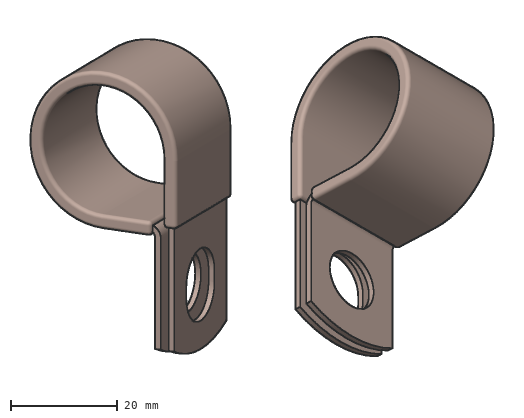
import cadquery as cq
import math

outer_radius = 15.5
cushion_thickness = 2.8
cushion_width = 23.8
edge_radius = 0.8
upright_leg_end_z = -13.55
lower_leg_end_x = 10.15

strap_thickness = cushion_thickness - 2 * edge_radius
strap_width = cushion_width - 2 * edge_radius
tab_gap = 1.6
bend_outer_radius = 2.4
strap_overlap = edge_radius

total_height = 55.95
hole_diameter = 11.9
hole_z = -27.7
slot_extension = 1.2
tab_end_radius = 25.0

inner_radius = outer_radius - cushion_thickness
strap_outer_radius = outer_radius - edge_radius
strap_inner_radius = strap_outer_radius - strap_thickness
tab_bottom_z = outer_radius - total_height
bent_tab_face_x = strap_inner_radius - tab_gap
diagonal = math.sqrt(0.5)


def extrude_along_y(profile, width):
    """Extrude an XZ profile symmetrically about Y = 0."""
    return profile.extrude(width / 2, both=True)


def make_cushion():
    """Three-quarter ring with two straight legs and every edge rounded."""
    profile = (
        cq.Workplane("XZ")
        .moveTo(outer_radius, upright_leg_end_z)
        .lineTo(outer_radius, 0)
        .threePointArc((-outer_radius * diagonal, outer_radius * diagonal), (0, -outer_radius))
        .lineTo(lower_leg_end_x, -outer_radius)
        .lineTo(lower_leg_end_x, -inner_radius)
        .lineTo(0, -inner_radius)
        .threePointArc((-inner_radius * diagonal, inner_radius * diagonal), (inner_radius, 0))
        .lineTo(inner_radius, upright_leg_end_z)
        .close()
    )
    band = extrude_along_y(profile, cushion_width)
    mid_radius = (outer_radius + inner_radius) / 2
    upright_end = cq.NearestToPointSelector((mid_radius, 0, upright_leg_end_z))
    lower_end = cq.NearestToPointSelector((lower_leg_end_x, 0, -mid_radius))
    rounded_faces = band.faces("<Y or >Y").add(band.faces(upright_end)).add(band.faces(lower_end))
    return rounded_faces.edges().fillet(edge_radius)


def make_straight_tab():
    """Flat tab hanging from the upright leg."""
    top_z = upright_leg_end_z + strap_overlap
    profile = (
        cq.Workplane("XZ")
        .moveTo(strap_inner_radius, top_z)
        .lineTo(strap_outer_radius, top_z)
        .lineTo(strap_outer_radius, tab_bottom_z)
        .lineTo(strap_inner_radius, tab_bottom_z)
        .close()
    )
    return extrude_along_y(profile, strap_width)


def make_bent_tab():
    """Tab leaving the lower leg horizontally and bending down."""
    bend_inner_radius = bend_outer_radius - strap_thickness
    bend_x = bent_tab_face_x - bend_outer_radius
    bend_z = -strap_inner_radius - bend_outer_radius
    start_x = lower_leg_end_x - strap_overlap
    outer_mid = (bend_x + bend_outer_radius * diagonal, bend_z + bend_outer_radius * diagonal)
    inner_mid = (bend_x + bend_inner_radius * diagonal, bend_z + bend_inner_radius * diagonal)
    profile = (
        cq.Workplane("XZ")
        .moveTo(start_x, -strap_inner_radius)
        .lineTo(bend_x, -strap_inner_radius)
        .threePointArc(outer_mid, (bent_tab_face_x, bend_z))
        .lineTo(bent_tab_face_x, tab_bottom_z)
        .lineTo(bent_tab_face_x - strap_thickness, tab_bottom_z)
        .lineTo(bent_tab_face_x - strap_thickness, bend_z)
        .threePointArc(inner_mid, (bend_x, -strap_outer_radius))
        .lineTo(start_x, -strap_outer_radius)
        .close()
    )
    return extrude_along_y(profile, strap_width)


def make_tab_outline():
    """Tab shape seen along X, with an arched lower end."""
    half_width = strap_width / 2
    arch_height = tab_end_radius - math.sqrt(tab_end_radius**2 - half_width**2)
    corner_z = tab_bottom_z + arch_height
    return (
        cq.Workplane("YZ")
        .moveTo(-half_width, 0)
        .lineTo(-half_width, corner_z)
        .threePointArc((0, tab_bottom_z), (half_width, corner_z))
        .lineTo(half_width, 0)
        .close()
        .extrude(outer_radius)
    )


def make_bolt_hole():
    """Round cutter for the bent tab."""
    return cq.Workplane("YZ").center(0, hole_z).circle(hole_diameter / 2).extrude(outer_radius)


def make_bolt_slot():
    """Cutter for the straight tab, lengthened along Z to allow for adjustment."""
    slot_length = hole_diameter + 2 * slot_extension
    return cq.Workplane("YZ").center(0, hole_z).slot2D(slot_length, hole_diameter, 90).extrude(outer_radius)


straight_tab = make_straight_tab().cut(make_bolt_slot())
bent_tab = make_bent_tab().cut(make_bolt_hole())
tabs = straight_tab.union(bent_tab).intersect(make_tab_outline())
result = make_cushion().union(tabs)